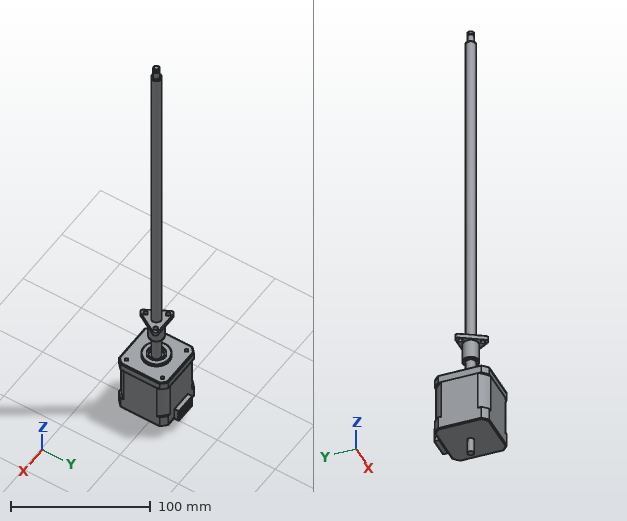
import cadquery as cq
import math


motor_side = 42.3
motor_height = 48.0
edge_chamfer = 0.82
cap_height = 6.7
rear_height = 10.5
end_corner_radius = 27.0
waist_corner_radius = 25.5

boss_diameter = 22.0
boss_height = 2.05
boss_chamfer = 0.55
bore_radius = 5.5
recess_radius = 7.0
recess_depth = 1.0
mount_hole_spacing = 31.0
mount_hole_radius = 1.3
mount_hole_depth = 4.5

coil_count = 8
coil_circle_radius = 14.5
coil_length = 2.5
coil_width = 5.0
coil_cover = 1.0

plug_width = 17.2
plug_depth = 3.7
plug_groove_width = 1.5
plug_groove_depth = 0.7
plug_groove_heights = (2.2, 6.5)

total_length = 374.0
rear_shaft_length = 11.5
screw_diameter = 8.0
screw_chamfer = 0.7
journal_radius = 2.5
journal_length = 9.7
journal_chamfer = 0.7
clip_groove_radius = 2.32
clip_groove_width = 0.7
journal_head_length = 2.5

flange_top = 40.0
flange_thickness = 3.5
flange_corner_angles = (-90, 30, 150)
flange_corner_circle = 11.2
flange_corner_radius = 2.2
flange_hole_circle = 9.5
flange_hole_radius = 1.7
hub_diameter = 12.5
hub_length = 15.7
hub_chamfer = 0.7

mounting_face = 0
cap_bottom = mounting_face - cap_height
motor_bottom = mounting_face - motor_height
screw_bottom = motor_bottom - rear_shaft_length
screw_top = screw_bottom + total_length


def cylinder(radius, bottom, top):
    return cq.Workplane("XY").workplane(offset=bottom).circle(radius).extrude(top - bottom)


def motor_block(corner_radius, bottom, top):
    """Square block whose corners are turned down to a cylinder about Z."""
    block = cq.Workplane("XY").workplane(offset=bottom).rect(motor_side, motor_side).extrude(top - bottom)
    return block.intersect(cylinder(corner_radius, bottom, top))


def coil_heads():
    """Ring of rectangular posts that rise from the motor body into the cap."""
    return (
        cq.Workplane("XY")
        .workplane(offset=cap_bottom)
        .polarArray(coil_circle_radius, 0, 360, coil_count)
        .rect(coil_length, coil_width)
        .extrude(cap_height - coil_cover)
    )


def make_front_cap():
    cap = motor_block(end_corner_radius, cap_bottom, mounting_face).faces(">Z").edges().chamfer(edge_chamfer)
    boss = cylinder(boss_diameter / 2, mounting_face, boss_height).faces(">Z").edges().chamfer(boss_chamfer)
    mount_holes = (
        cq.Workplane("XY")
        .rect(mount_hole_spacing, mount_hole_spacing, forConstruction=True)
        .vertices()
        .circle(mount_hole_radius)
        .extrude(-mount_hole_depth)
    )
    cap = cap.union(boss).cut(mount_holes).cut(coil_heads())
    cap = cap.cut(cylinder(recess_radius, boss_height - recess_depth, boss_height))
    cap = cap.cut(cylinder(bore_radius, mounting_face, boss_height))
    return cap.cut(cylinder(journal_radius, cap_bottom, boss_height))


def make_motor_body():
    rear_top = motor_bottom + rear_height
    rear = motor_block(end_corner_radius, motor_bottom, rear_top).faces("<Z").edges().chamfer(edge_chamfer)
    waist = motor_block(waist_corner_radius, rear_top, cap_bottom)
    body = rear.union(waist).union(coil_heads())
    return body.cut(cylinder(journal_radius, motor_bottom, cap_bottom))


def plug_bar(depth, height):
    return cq.Workplane("XY").box(plug_width, depth, height, centered=(True, False, False))


def make_plug():
    """Block on the +Y side of the motor's rear, with grooves across its outer face."""
    inner = motor_side / 2
    groove_floor = inner + plug_depth - plug_groove_depth
    plug = plug_bar(plug_depth, rear_height).translate((0, inner, motor_bottom))
    for height in plug_groove_heights:
        groove = plug_bar(plug_groove_depth, plug_groove_width)
        plug = plug.cut(groove.translate((0, groove_floor, motor_bottom + height)))
    return plug


def make_lead_screw():
    shoulder = screw_top - journal_length
    groove_top = screw_top - journal_head_length
    groove_bottom = groove_top - clip_groove_width
    screw = cylinder(screw_diameter / 2, mounting_face, shoulder).faces(">Z").edges().chamfer(screw_chamfer)
    screw = screw.union(cylinder(journal_radius, screw_bottom, mounting_face))
    screw = screw.union(cylinder(journal_radius, shoulder, groove_bottom))
    screw = screw.union(cylinder(clip_groove_radius, groove_bottom, groove_top))
    screw = screw.union(cylinder(journal_radius, groove_top, screw_top))
    return screw.faces(">Z").edges().chamfer(journal_chamfer)


def flange_points(radius):
    """Three points about Z, one in the direction of each flange corner."""
    angles = [math.radians(angle) for angle in flange_corner_angles]
    return [(radius * math.cos(angle), radius * math.sin(angle)) for angle in angles]


def flange_plate():
    """Triangular plate with rounded corners, one of them toward -Y."""
    corners = flange_points(flange_corner_circle)
    holes = flange_points(flange_hole_circle)
    bottom_plane = cq.Workplane("XY").workplane(offset=flange_top - flange_thickness)
    plate = bottom_plane.polyline(corners).close().offset2D(flange_corner_radius).extrude(flange_thickness)
    return plate.cut(bottom_plane.pushPoints(holes).circle(flange_hole_radius).extrude(flange_thickness))


def make_nut():
    flange_bottom = flange_top - flange_thickness
    hub_bottom = flange_bottom - hub_length
    hub = cylinder(hub_diameter / 2, hub_bottom, flange_bottom).faces("<Z").edges().chamfer(hub_chamfer)
    return flange_plate().union(hub).cut(cylinder(screw_diameter / 2, hub_bottom, flange_top))


front_cap = make_front_cap()
motor_body = make_motor_body()
plug = make_plug()
lead_screw = make_lead_screw()
nut = make_nut()

result = cq.Compound.makeCompound(
    [front_cap.val(), motor_body.val(), plug.val(), lead_screw.val(), nut.val()]
)